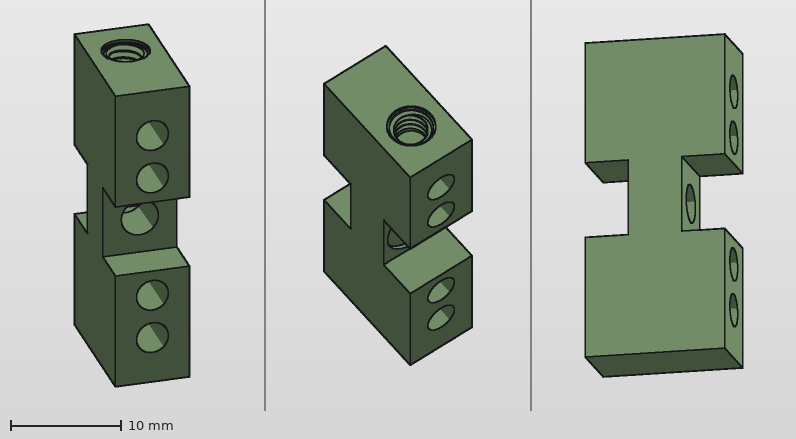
import cadquery as cq

LENGTH_X = 13.0
WIDTH_Y = 7.0
HEIGHT_Z = 29.5
WEB_THICKNESS = 5.0
NOTCH_HEIGHT = 7.0
TOP_Z = HEIGHT_Z / 2

CROSS_HOLE_DIAMETER = 3.0
CROSS_HOLE_INNER_Z = 5.95
CROSS_HOLE_PITCH = 4.3

WEB_HOLE_DIAMETER = 3.5
COUNTERBORE_DIAMETER = 6.1
COUNTERBORE_DEPTH = 0.4

THREAD_X = -2.0
THREAD_MINOR_DIAMETER = 3.02
THREAD_MAJOR_DIAMETER = 4.0
THREAD_PITCH = 0.7
THREAD_CREST = 0.1
THREAD_TURNS = 4.25
THREAD_START_ANGLE = 25.0
THREAD_START_DEPTH = 2.785
THREAD_HOLE_DEPTH = 2.9
CUT_OVERLAP = 0.04

RECESS_DIAMETER = 4.42
RECESS_DEPTH = 0.25
RECESS_FLOOR_DIAMETER = THREAD_MAJOR_DIAMETER
RECESS_FLOOR_DEPTH = 0.38


def make_body():
    body = cq.Workplane("XY").box(LENGTH_X, WIDTH_Y, HEIGHT_Z)
    notch_depth = (LENGTH_X - WEB_THICKNESS) / 2
    for side in (-1, 1):
        notch_x = side * (LENGTH_X - notch_depth) / 2
        notch = cq.Workplane("XY").box(notch_depth, WIDTH_Y, NOTCH_HEIGHT)
        body = body.cut(notch.translate((notch_x, 0, 0)))
    return body


def x_cylinder(diameter, start_x, length, z):
    return cq.Workplane("YZ", origin=(start_x, 0, z)).circle(diameter / 2).extrude(length)


def cut_cross_holes(body):
    outer_z = CROSS_HOLE_INNER_Z + CROSS_HOLE_PITCH
    for z in (-outer_z, -CROSS_HOLE_INNER_Z, CROSS_HOLE_INNER_Z, outer_z):
        body = body.cut(x_cylinder(CROSS_HOLE_DIAMETER, -LENGTH_X / 2, LENGTH_X, z))
    return body


def cut_web_hole(body):
    web_face_x = -WEB_THICKNESS / 2
    body = body.cut(x_cylinder(WEB_HOLE_DIAMETER, web_face_x, WEB_THICKNESS, 0))
    return body.cut(x_cylinder(COUNTERBORE_DIAMETER, web_face_x, COUNTERBORE_DEPTH, 0))


def helix_wire(radius, start_z):
    height = THREAD_TURNS * THREAD_PITCH
    return cq.Wire.makeHelix(THREAD_PITCH, height, radius).translate(cq.Vector(0, 0, start_z))


def make_thread_groove():
    """Right-hand helical V groove, rising from the hole floor into the mouth recess."""
    minor_radius = THREAD_MINOR_DIAMETER / 2
    major_radius = THREAD_MAJOR_DIAMETER / 2
    inner_radius = minor_radius - CUT_OVERLAP
    half_mouth = (THREAD_PITCH - THREAD_CREST) / 2
    flank_slope = half_mouth / (major_radius - minor_radius)
    half_base = flank_slope * (major_radius - inner_radius)

    lower = helix_wire(inner_radius, -half_base)
    root = helix_wire(major_radius, 0)
    upper = helix_wire(inner_radius, half_base)

    faces = []
    for first, second in ((lower, root), (root, upper), (upper, lower)):
        faces.append(cq.Face.makeRuledSurface(first, second))
    for end_point in (cq.Wire.startPoint, cq.Wire.endPoint):
        corners = [end_point(helix) for helix in (lower, root, upper)]
        faces.append(cq.Face.makeFromWires(cq.Wire.makePolygon(corners, close=True)))

    groove = cq.Workplane(obj=cq.Solid.makeSolid(cq.Shell.makeShell(faces)))
    groove = groove.rotate((0, 0, 0), (0, 0, 1), THREAD_START_ANGLE)
    return groove.translate((THREAD_X, 0, TOP_Z - THREAD_START_DEPTH))


def cut_threaded_hole(body):
    top = cq.Workplane("XY", origin=(THREAD_X, 0, TOP_Z))
    bore = top.circle(THREAD_MINOR_DIAMETER / 2).extrude(-THREAD_HOLE_DEPTH)
    recess = top.circle(RECESS_DIAMETER / 2).extrude(-RECESS_DEPTH)
    recess_floor = top.circle(RECESS_FLOOR_DIAMETER / 2).extrude(-RECESS_FLOOR_DEPTH)
    envelope = top.circle(RECESS_DIAMETER / 2).extrude(-THREAD_HOLE_DEPTH)
    groove = make_thread_groove().intersect(envelope)
    return body.cut(bore).cut(groove).cut(recess).cut(recess_floor)


result = cut_threaded_hole(cut_web_hole(cut_cross_holes(make_body())))